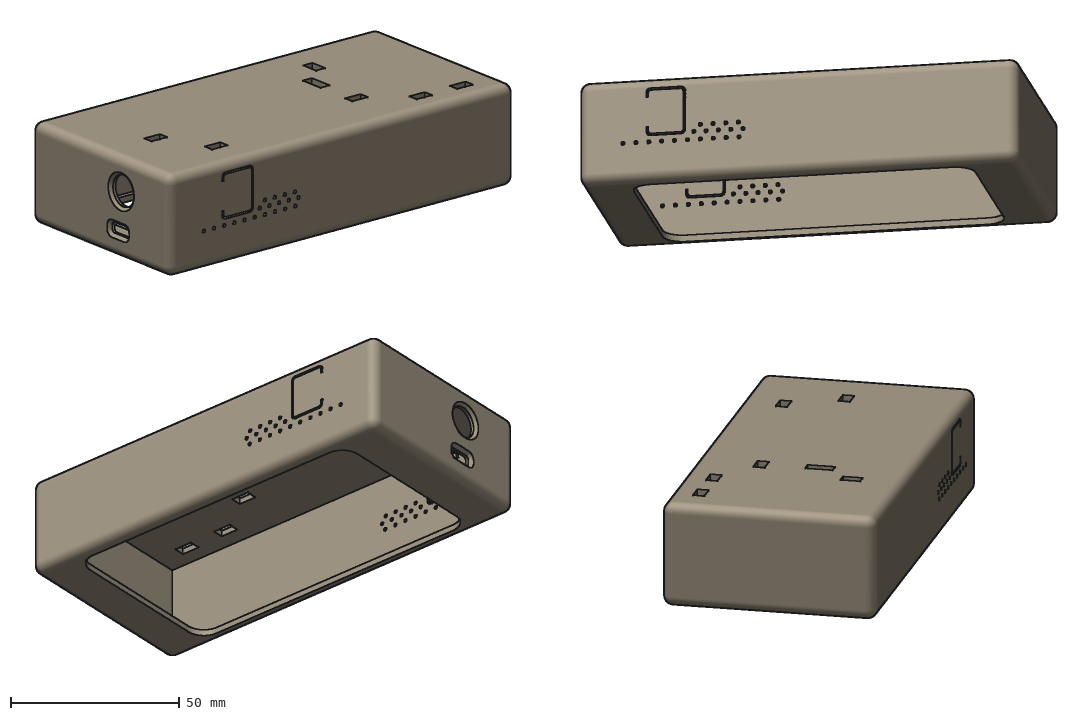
import cadquery as cq

length_x = 65.0
length_y = 132.5
height = 32.0
edge_radius = 3.0
wall = 2.0

floor_opening_x = 57.5
floor_opening_y = 103.2
floor_opening_corner_radius = 6.0

window_width = 3.5
window_length = 6.0
long_window_length = 8.4
roof_windows = [
    (23.7, 52.9, window_width, window_length),
    (23.3, 37.6, window_width, window_length),
    (-16.8, 29.6, window_length, window_width),
    (-5.2, 20.85, long_window_length, window_width),
    (12.6, 21.7, window_width, window_length),
    (19.6, -37.85, window_width, window_length),
    (2.6, -47.15, window_width, window_length),
]

jack_x = 9.7
jack_z = 5.2
jack_diameter = 10.0
jack_chamfer = 1.0

connector_x = 8.3
connector_z = -7.5
connector_length = 8.1
connector_height = 3.4
connector_corner_radius = 1.2
connector_chamfer = 1.1

tab_free_y = -34.2
tab_hinge_y = -46.1
tab_top_z = 12.8
tab_bottom_z = -1.9
tab_corner_radius = 1.5
slit_width = 0.6
hinge_height = 9.4

pinhole_diameter = 1.0
pinhole_rows = [
    (0.65, -18.2, 3.83, 4),
    (-1.45, -16.8, 3.72, 5),
    (-3.9, -18.0, 3.9, 10),
]


def make_shell():
    """Rounded box with a rectangular cavity and a smaller, round-cornered floor opening."""
    body = cq.Workplane("XY").box(length_x, length_y, height).edges().fillet(edge_radius)
    cavity = cq.Workplane("XY").box(length_x - 2 * wall, length_y - 2 * wall, height - 2 * wall)
    opening = (
        cq.Workplane("XY")
        .workplane(offset=-height / 2)
        .rect(floor_opening_x, floor_opening_y)
        .extrude(height / 2)
        .edges("|Z")
        .fillet(floor_opening_corner_radius)
    )
    return body.cut(cavity).cut(opening)


def make_roof_windows():
    """Rectangular cutters that pass through the roof only."""
    cutters = cq.Workplane("XY")
    for x, y, size_x, size_y in roof_windows:
        window = cq.Workplane("XY").box(size_x, size_y, 2 * wall).translate((x, y, height / 2))
        cutters = cutters.add(window)
    return cutters.combine()


def front_plane(x, z):
    """Sketch plane on the -Y face, centred at (x, z), with its normal out of the part."""
    return cq.Workplane("XZ", origin=(x, -length_y / 2, z))


def make_jack_hole():
    """Round cutter through the -Y wall with a 45 degree flared mouth."""
    passage = front_plane(jack_x, jack_z).circle(jack_diameter / 2).extrude(-wall)
    mouth = (
        front_plane(jack_x, jack_z)
        .circle(jack_diameter / 2 + jack_chamfer)
        .workplane(offset=-jack_chamfer)
        .circle(jack_diameter / 2)
        .loft(ruled=True)
    )
    return passage.union(mouth)


def make_connector_hole():
    """Rounded rectangular cutter through the -Y wall with a 45 degree flared mouth."""

    def outline(margin):
        sketch = cq.Sketch().rect(connector_length + 2 * margin, connector_height + 2 * margin)
        return sketch.vertices().fillet(connector_corner_radius + margin)

    passage = front_plane(connector_x, connector_z).placeSketch(outline(0)).extrude(-wall)
    mouth = (
        front_plane(connector_x, connector_z)
        .placeSketch(
            outline(connector_chamfer),
            outline(0).moved(cq.Location(cq.Vector(0, 0, -connector_chamfer))),
        )
        .loft(ruled=True)
    )
    return passage.union(mouth)


def make_tab_slit():
    """C-shaped cutter through both X walls, left closed along the hinge."""
    tab_length = tab_free_y - tab_hinge_y
    tab_height = tab_top_z - tab_bottom_z
    center_y = (tab_free_y + tab_hinge_y) / 2
    center_z = (tab_top_z + tab_bottom_z) / 2
    plane = cq.Workplane("YZ", origin=(0, center_y, center_z))
    outer = (
        plane.rect(tab_length, tab_height)
        .extrude(length_x / 2, both=True)
        .edges("|X")
        .fillet(tab_corner_radius)
    )
    tab = (
        plane.rect(tab_length - 2 * slit_width, tab_height - 2 * slit_width)
        .extrude(length_x / 2, both=True)
        .edges("|X")
        .fillet(tab_corner_radius - slit_width)
    )
    hinge = cq.Workplane("XY").box(length_x, 2 * slit_width, hinge_height).translate((0, tab_hinge_y, center_z))
    return outer.cut(tab).cut(hinge)


def make_pinholes():
    """Rows of small round cutters through both X walls."""
    points = [
        (first_y - i * pitch, z)
        for z, first_y, pitch, count in pinhole_rows
        for i in range(count)
    ]
    return (
        cq.Workplane("YZ")
        .pushPoints(points)
        .circle(pinhole_diameter / 2)
        .extrude(length_x / 2, both=True)
    )


result = (
    make_shell()
    .cut(make_roof_windows())
    .cut(make_jack_hole())
    .cut(make_connector_hole())
    .cut(make_tab_slit())
    .cut(make_pinholes())
)